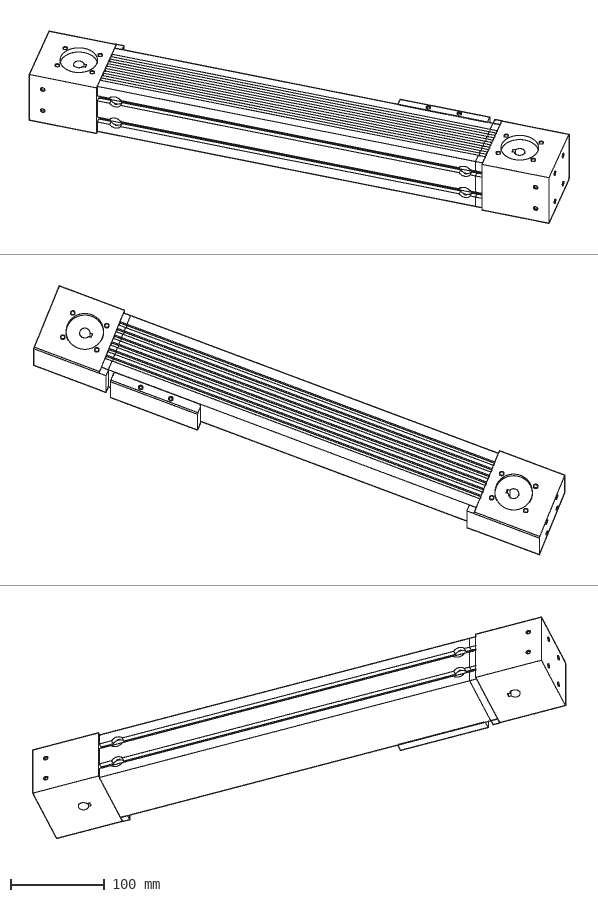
import cadquery as cq
total_length = 580.0
head_height = 65.0

head_length = 75.0
head_depth = 75.0
head_edge_chamfer = 1.5
neck_length = 8.0
pilot_diameter = 40.0
pilot_depth = 6.0
bore_diameter = 11.0
key_width = 4.0
key_reach = 8.0
bore_offset = 44.0
flange_hole_spacing = (39.0, 29.0)
end_hole_spacing = (30.0, 40.0)
side_hole_spacing = 30.0
side_hole_offset = 15.0

flange_core = 4.13
screw_core = 3.24
mouth_diameter = 5.0
tapped_depth = 12.0

beam_depth = 65.0
beam_height = 64.0
beam_front = 3.0
beam_back = beam_front + beam_depth
slot_spacing = 30.0
slot_width = 7.0
lip_thickness = 5.0
entry_diameter = 14.0
cavity_width = 16.0
cavity_depth = 6.0
entry_offset = 20.0
groove_count = 6
groove_pitch = 8.0
groove_width = 4.0
groove_depth = 5.0
lip_height = 63.0

carriage_length = 100.0
carriage_gap = 6.5
carriage_back = 79.0
carriage_height = 62.0
carriage_chamfer = 1.5
carriage_hole_spacing = 34.5

middle = total_length / 2
head_center_y = head_depth / 2
beam_center_y = (beam_front + beam_back) / 2
inner_face = head_length
split_x = total_length - head_length - neck_length


def block(x0, x1, y0, y1, height):
    """Block between two X and two Y limits, centred on Z = 0."""
    return cq.Workplane("XY").box(x1 - x0, y1 - y0, height).translate(((x0 + x1) / 2, (y0 + y1) / 2, 0))


def tapped_holes(places, core, inward):
    """Blind holes with a 45 degree countersink; `inward` is the sign of the drilling direction."""
    mouth_depth = (mouth_diameter - core) / 2
    cores = places.circle(core / 2).extrude(inward * tapped_depth)
    mouths = places.circle(mouth_diameter / 2).extrude(inward * mouth_depth, taper=45)
    return cores.union(mouths)


def mirror_to_right(shape):
    """Copy of a left-hand shape at the other end of the axis."""
    return shape.mirror("YZ", (middle, 0, 0))


def drive_head():
    """Left head with its pilot, keyed bore and fixing holes."""
    head = block(0, head_length, 0, head_depth, head_height).edges(">Y and |X").chamfer(head_edge_chamfer)
    top = cq.Workplane("XY", origin=(bore_offset, head_center_y, head_height / 2))
    head = head.cut(top.circle(pilot_diameter / 2).extrude(-pilot_depth))
    head = head.cut(top.circle(bore_diameter / 2).extrude(-head_height))
    head = head.cut(top.center(key_reach / 2, 0).rect(key_reach, key_width).extrude(-head_height))

    flange_places = top.rect(*flange_hole_spacing, forConstruction=True).vertices()
    end = cq.Workplane("YZ", origin=(0, head_center_y, 0))
    end_places = end.rect(*end_hole_spacing, forConstruction=True).vertices()
    side = cq.Workplane("XZ", origin=(side_hole_offset, 0, 0))
    side_places = side.rarray(1, side_hole_spacing, 1, 2)

    head = head.cut(tapped_holes(flange_places, flange_core, -1))
    head = head.cut(tapped_holes(end_places, screw_core, 1))
    return head.cut(tapped_holes(side_places, screw_core, -1))


def beam_section(x0, x1):
    """Length of beam with two T-slots in its front face and grooves in its top face."""
    length = x1 - x0
    center_x = (x0 + x1) / 2
    beam = block(x0, x1, beam_front, beam_back, beam_height)
    front = cq.Workplane("XZ", origin=(center_x, beam_front, 0))
    slots = front.rarray(1, slot_spacing, 1, 2).rect(length, slot_width).extrude(-lip_thickness)
    inner = cq.Workplane("XZ", origin=(center_x, beam_front + lip_thickness, 0))
    cavities = inner.rarray(1, slot_spacing, 1, 2).rect(length, cavity_width).extrude(-cavity_depth)
    top = cq.Workplane("XY", origin=(center_x, beam_center_y, beam_height / 2))
    grooves = top.rarray(1, groove_pitch, 1, groove_count).rect(length, groove_width).extrude(-groove_depth)
    return beam.cut(slots).cut(cavities).cut(grooves)


def slot_entries():
    """Round openings through the front wall near both ends of the T-slots."""
    spacing = total_length - 2 * (inner_face + entry_offset)
    front = cq.Workplane("XZ", origin=(middle, beam_front, 0))
    return front.rarray(spacing, slot_spacing, 2, 2).circle(entry_diameter / 2).extrude(-lip_thickness)


def back_lip():
    """Lip beside the left head, behind the beam and flush with the back of the head."""
    return block(inner_face, inner_face + neck_length, beam_back, head_depth, lip_height)


def make_beam():
    """Left head, its lip and the beam, in one piece."""
    beam = beam_section(inner_face, split_x).cut(slot_entries())
    return beam.union(drive_head()).union(back_lip())


def make_right_head():
    """Right head with a short neck that continues the beam section."""
    neck = beam_section(split_x, total_length - head_length)
    return neck.union(mirror_to_right(drive_head())).union(mirror_to_right(back_lip()))


def make_carriage():
    """Plate on the back of the beam, chamfered, with two tapped holes in its top edge."""
    x1 = split_x - carriage_gap
    x0 = x1 - carriage_length
    plate = block(x0, x1, beam_back, carriage_back, carriage_height)
    plate = plate.edges("(>Y and |X) or (<Y and |Z)").chamfer(carriage_chamfer)
    top = cq.Workplane("XY", origin=((x0 + x1) / 2, (beam_back + carriage_back) / 2, carriage_height / 2))
    places = top.rarray(carriage_hole_spacing, 1, 2, 1)
    return plate.cut(tapped_holes(places, screw_core, -1))


beam = make_beam()
right_head = make_right_head()
carriage = make_carriage()

result = cq.Compound.makeCompound([beam.val(), right_head.val(), carriage.val()])